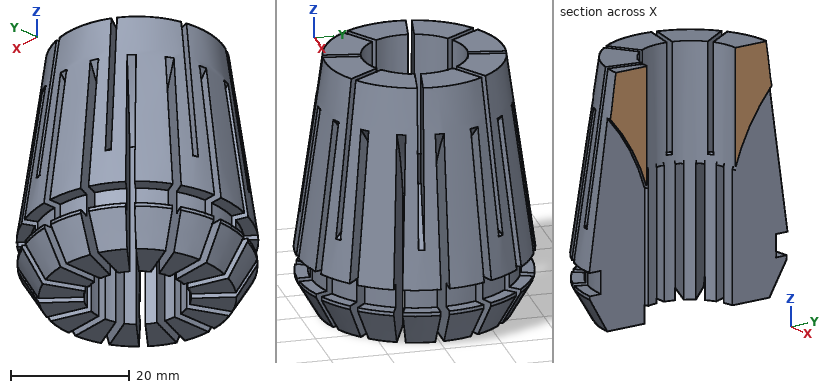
import cadquery as cq
import math

height = 46.0
max_radius = 20.5
bore_radius = 9.1
taper_angle = 8.0
taper_base_z = 11.05
groove_radius = 18.12
rim_radius = 20.4
rim_top_z = 6.9
rim_bottom_z = 6.25
nose_angle = 30.0

slots_from_below = 16
slots_from_above = 8
saw_radius = 36.35
lower_slot_width = 1.5
lower_saw_reach = 7.55
lower_saw_z = 13.7
upper_slot_width = 1.0
upper_saw_reach = 1.35
upper_saw_z = 49.5
crest_radius = 9.75
crest_bevel_angle = 22.0
clearance = 0.9

top_radius = max_radius - (height - taper_base_z) * math.tan(math.radians(taper_angle))
bottom_radius = rim_radius - rim_bottom_z * math.tan(math.radians(nose_angle))


def collet_body():
    """Tapered sleeve with a groove and a conical nose, bored through."""
    return (
        cq.Workplane("XZ")
        .moveTo(bore_radius, 0)
        .lineTo(bottom_radius, 0)
        .lineTo(rim_radius, rim_bottom_z)
        .lineTo(rim_radius, rim_top_z)
        .lineTo(groove_radius, rim_top_z)
        .lineTo(groove_radius, taper_base_z)
        .lineTo(max_radius, taper_base_z)
        .lineTo(top_radius, height)
        .lineTo(bore_radius, height)
        .close()
        .revolve(360, (0, 0, 0), (0, 1, 0))
    )


def lower_slot_cutter():
    """Cutter along +X, open at the bottom and closed above by a quarter of the saw disc."""
    saw_center = lower_saw_reach + saw_radius
    diagonal = saw_radius * math.sqrt(0.5)
    return (
        cq.Workplane("XZ")
        .moveTo(lower_saw_reach, -clearance)
        .lineTo(lower_saw_reach, lower_saw_z)
        .threePointArc(
            (saw_center - diagonal, lower_saw_z + diagonal),
            (saw_center, lower_saw_z + saw_radius),
        )
        .lineTo(saw_center, -clearance)
        .close()
        .extrude(lower_slot_width / 2, both=True)
    )


def upper_slot_cutter():
    """Cutter along +X, open at the top; its saw-round floor falls off to the bore at a crest."""
    saw_center = upper_saw_reach + saw_radius

    def floor_z(radius):
        return upper_saw_z - math.sqrt(saw_radius**2 - (saw_center - radius) ** 2)

    inner_radius = bore_radius - clearance
    bevel_drop = (crest_radius - inner_radius) * math.tan(math.radians(crest_bevel_angle))
    crest_z = floor_z(crest_radius)
    return (
        cq.Workplane("XZ")
        .moveTo(inner_radius, height + clearance)
        .lineTo(inner_radius, crest_z - bevel_drop)
        .lineTo(crest_radius, crest_z)
        .threePointArc((max_radius, floor_z(max_radius)), (saw_center, floor_z(saw_center)))
        .lineTo(saw_center, height + clearance)
        .close()
        .extrude(upper_slot_width / 2, both=True)
    )


def cut_around(body, cutter, count, start_angle):
    """Cut equally spaced copies of the cutter around the Z axis."""
    for i in range(count):
        body = body.cut(cutter.rotate((0, 0, 0), (0, 0, 1), start_angle + i * 360 / count))
    return body


result = collet_body()
result = cut_around(result, lower_slot_cutter(), slots_from_below, 0)

half_pitch = 180 / slots_from_below
result = cut_around(result, upper_slot_cutter(), slots_from_above, -half_pitch)